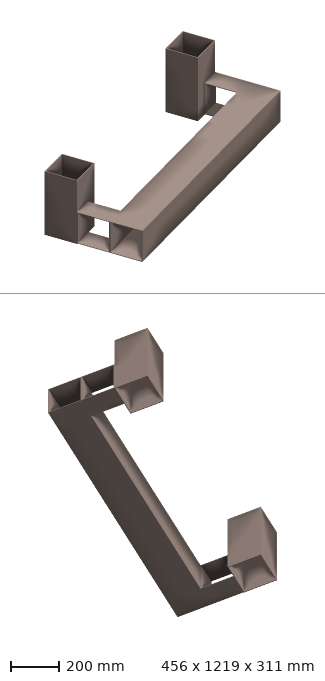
import cadquery as cq

tube_side = 152.0
wall = 3.2
overall_length = 1219.0
post_height = 311.0
lift = 2.9
link_length = 95.0

post_x = tube_side / 2
link_x = post_x + tube_side
beam_x = link_x + tube_side
tube_z = lift + tube_side / 2
half_length = overall_length / 2


def square_tube(length):
    """Open-ended square tube centred on the origin, running along Z."""
    bore_side = tube_side - 2 * wall
    outer = cq.Workplane("XY").box(tube_side, tube_side, length)
    bore = cq.Workplane("XY").box(bore_side, bore_side, length)
    return outer.cut(bore)


def tube_along_y(length):
    return square_tube(length).rotate((0, 0, 0), (1, 0, 0), 90)


def make_post(end):
    """Upright tube with its outer face at one end of the beam."""
    post_y = end * (half_length - tube_side / 2)
    return square_tube(post_height).translate((post_x, post_y, post_height / 2))


def make_link(end):
    """Short tube between post and beam, flush with one end of the beam."""
    link_y = end * (half_length - link_length / 2)
    return tube_along_y(link_length).translate((link_x, link_y, tube_z))


def make_beam():
    """Long horizontal tube joining the two ends."""
    return tube_along_y(overall_length).translate((beam_x, 0, tube_z))


beam = make_beam()
posts = []
links = []
for end in (-1, 1):
    posts.append(make_post(end).val())
    links.append(make_link(end).val())

result = cq.Compound.makeCompound([beam.val(), *posts, *links])